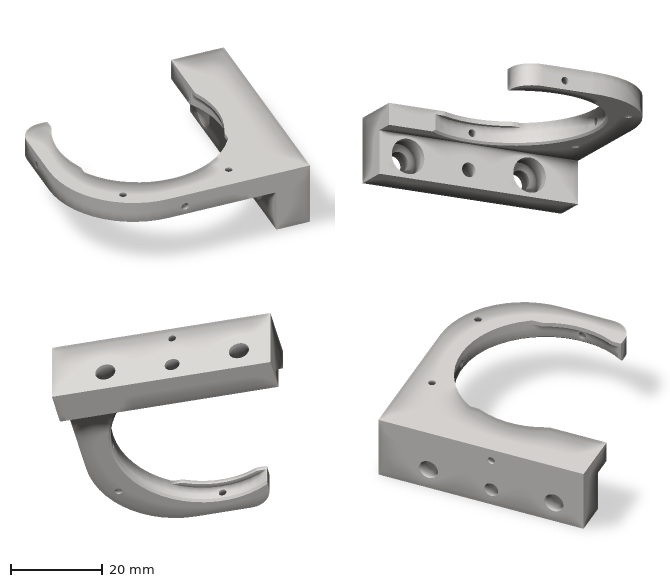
import cadquery as cq
import math

length_x = 49.0
length_y = 53.5
height = 15.0

block_depth = 7.95
plate_thickness = 5.05
shelf_depth = 12.5
hook_start_x = 11.45
hook_tip_radius = 5.0
outer_corner_radius = 20.0

bore_x = 22.05
bore_y = length_y - 29.55
bore_radius = 20.0
lip_radius = 18.95
lip_thickness = 1.0
lip_corner_radius = 2.0
bore_chamfer = 0.5

pin_diameter = 1.65
pin_offset_x = 21.6
pin_offset_y = 12.5
cross_hole_diameter = 1.7
cross_hole_depth = 3.0
screw_diameter = 4.5
counterbore_diameter = 8.0
counterbore_depth = 4.5
screw_offset_x = 15.0
screw_z = height - 10.0
center_hole_diameter = 3.3
center_hole_z = height - 10.95

plate_bottom = height - plate_thickness
shelf_y = length_y - shelf_depth
opening_half_width = shelf_y - bore_y
hook_inner_y = bore_y - opening_half_width
block_front = length_y - block_depth
counterbore_end = block_front + counterbore_depth
cross_z = height - cross_hole_depth
lip_corner_offset_x = math.sqrt(lip_radius**2 - opening_half_width**2)
bore_corner_offset_x = math.sqrt(bore_radius**2 - opening_half_width**2)


def box(x_min, x_max, y_min, y_max, z_min, z_max):
    size = (x_max - x_min, y_max - y_min, z_max - z_min)
    return cq.Workplane("XY").box(*size, centered=False).translate((x_min, y_min, z_min))


def bore_cylinder(radius, z_min, z_max):
    return cq.Workplane("XY", origin=(bore_x, bore_y, z_min)).circle(radius).extrude(z_max - z_min)


def hole_along_y(x, z, diameter, y_min, y_max):
    plane = cq.Workplane("XZ", origin=(x, y_max, z))
    return plane.circle(diameter / 2).extrude(y_max - y_min)


def make_plate():
    plate = box(0, length_x, 0, length_y, plate_bottom, height)
    plate = plate.cut(box(0, hook_start_x, 0, shelf_y, plate_bottom, height))
    plate = plate.edges("|Z and >X and <Y").fillet(outer_corner_radius)
    tip_corner = cq.selectors.NearestToPointSelector((hook_start_x, 0, height - plate_thickness / 2))
    return plate.edges(tip_corner).fillet(hook_tip_radius)


def make_bore():
    bore = bore_cylinder(bore_radius, plate_bottom, height - lip_thickness)
    opening = box(bore_x, length_x, hook_inner_y, shelf_y, plate_bottom, height)
    passage = bore_cylinder(bore_radius, plate_bottom, height).intersect(opening)
    mouth = box(0, bore_x, hook_inner_y, shelf_y, plate_bottom, height)
    lip_hole = bore_cylinder(lip_radius, plate_bottom, height)
    chamfer = (
        cq.Workplane("XY", origin=(bore_x, bore_y, plate_bottom))
        .circle(bore_radius + bore_chamfer)
        .workplane(offset=bore_chamfer)
        .circle(bore_radius)
        .loft()
    )
    return bore.union(passage).union(mouth).union(lip_hole).union(chamfer)


def round_lip_corners(plate):
    lip_middle_z = height - lip_thickness / 2
    for offset_x in (-lip_corner_offset_x, lip_corner_offset_x, bore_corner_offset_x):
        for corner_y in (hook_inner_y, shelf_y):
            corner = (bore_x + offset_x, corner_y, lip_middle_z)
            edge = cq.selectors.NearestToPointSelector(corner)
            plate = plate.edges(edge).fillet(lip_corner_radius)
    return plate


block = box(0, length_x, length_y - block_depth, length_y, 0, plate_bottom)
result = round_lip_corners(make_plate().cut(make_bore())).union(block)

for side in (-1, 1):
    pin_center = (bore_x + pin_offset_x, bore_y + side * pin_offset_y, plate_bottom)
    result = result.cut(cq.Workplane("XY", origin=pin_center).circle(pin_diameter / 2).extrude(plate_thickness))

result = result.cut(hole_along_y(bore_x, cross_z, cross_hole_diameter, 0, length_y))
side_hole = cq.Workplane("YZ", origin=(bore_x, bore_y, cross_z)).circle(cross_hole_diameter / 2)
result = result.cut(side_hole.extrude(length_x - bore_x))

for side in (-1, 1):
    screw_x = bore_x + side * screw_offset_x
    result = result.cut(hole_along_y(screw_x, screw_z, screw_diameter, block_front, length_y))
    result = result.cut(hole_along_y(screw_x, screw_z, counterbore_diameter, block_front, counterbore_end))
result = result.cut(hole_along_y(bore_x, center_hole_z, center_hole_diameter, block_front, length_y))